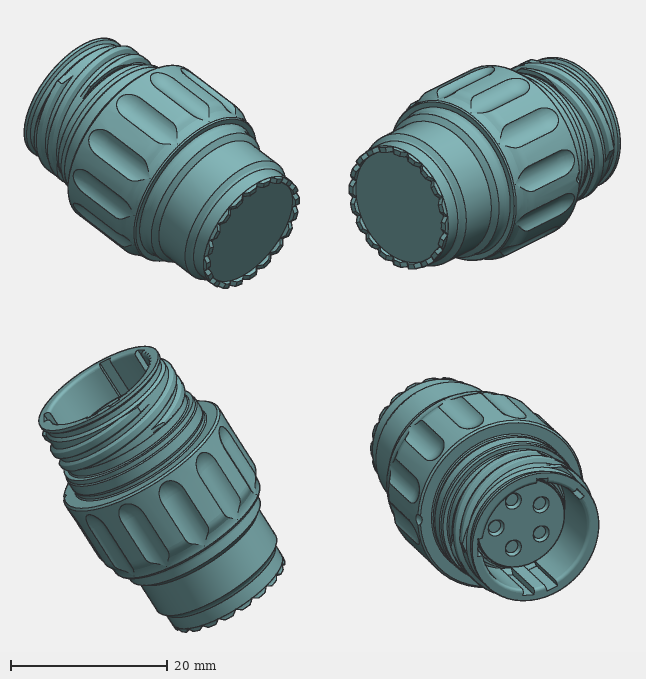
import cadquery as cq
import math


length = 33.0
collar_radius = 11.65
tooth_depth = 0.55
crown_base_x = length - tooth_depth

nose_radius = 8.9
rim_end_x = 0.45
seal_groove_radius = 8.5
seal_groove_start_x = 0.75
seal_groove_end_x = 1.5
thread_start_x = 1.85
thread_end_x = 6.15
neck_radius = 8.88
neck_start_x = 6.3
shoulder_x = 7.55
shoulder_radius = 9.6
corner_bevel = 0.15
ring_start_x = 8.35
ring_end_x = 9.75
ring_radius = 9.77
ring_step = ring_radius - shoulder_radius
ring_bevel_end_x = 10.03
ring_tail_radius = 9.67

collar_start_x = 10.65
collar_chamfer = 0.25
collar_crown_end_x = 19.55
collar_bevel_x = 20.62
collar_bevel_radius = 11.32
collar_cove_x = 21.02
collar_cove_start_radius = 11.1
collar_cove_arc_radius = 2.65
collar_lip_x = 21.98
collar_lip_radius = 10.9
collar_lip_chamfer_x = 22.28
collar_end_x = 22.5
collar_end_radius = 10.75

cove_start_radius = 10.05
cove_arc_radius = 1.12
cove_bottom_x = 23.25
rear_ring_radius = 9.77
rear_ring_end_x = 24.32
barrel_start_x = 24.95
barrel_radius = 9.0
barrel_end_x = 29.75
tail_step_x = 30.35
tail_step_radius = 8.45
tail_start_x = 30.62
tail_radius = 8.3

tooth_count = 20
tooth_notch_width = 1.42
crown_radius = 8.28
crown_inner_radius = 7.6

thread_starts = 3
thread_lead = 6.17
thread_turn = 250.0
thread_ramp_turn = 11.0
thread_first_angle = 109.0
thread_first_center_x = 2.08
thread_radius = 9.47
thread_root_width = 1.42
thread_crest_width = 0.82
thread_embed = 0.25
thread_crest_fillet = 0.13

socket_radius = 7.42
socket_lip = 0.43
socket_depth = 7.25
flange_radius = 6.9
flange_depth = 6.27
insert_flange_radius = 6.45
insert_flange_depth = 5.28
insert_radius = 6.17
insert_chamfer = 0.1
insert_face_x = 4.52
contact_count = 5
contact_circle_radius = 3.5
contact_mouth_radius = 1.12
contact_floor_radius = 0.85
contact_depth = 0.53

keyway_radius = 8.12
keyways = [(0.0, 2.48), (97.0, 1.55), (141.5, 1.55), (253.0, 1.55), (277.0, 1.55)]

flute_count = 12
flute_radius = 2.57
flute_floor_radius = collar_lip_radius
flute_straight_x = 13.9
flute_runout_radius = 4.05

index_dimple_radius = 0.85
index_dimple_depth = 0.53


def around_x(shape, angle):
    """Turn a shape about the X axis, from +Y toward +Z."""
    return shape.rotate((0, 0, 0), (1, 0, 0), angle)


def cylinder(start_x, end_x, radius):
    return cq.Workplane("YZ").workplane(offset=start_x).circle(radius).extrude(end_x - start_x)


def make_body():
    profile = (
        cq.Workplane("XY")
        .lineTo(0, nose_radius)
        .lineTo(rim_end_x, nose_radius)
        .lineTo(seal_groove_start_x, seal_groove_radius)
        .lineTo(seal_groove_end_x, seal_groove_radius)
        .lineTo(thread_start_x, nose_radius)
        .lineTo(neck_start_x, nose_radius)
        .lineTo(neck_start_x, neck_radius)
        .lineTo(shoulder_x - corner_bevel, neck_radius)
        .lineTo(shoulder_x, neck_radius + corner_bevel)
        .lineTo(shoulder_x, shoulder_radius)
        .lineTo(ring_start_x - ring_step, shoulder_radius)
        .lineTo(ring_start_x, ring_radius)
        .lineTo(ring_end_x, ring_radius)
        .lineTo(ring_bevel_end_x, ring_tail_radius)
        .lineTo(collar_start_x - corner_bevel, ring_tail_radius)
        .lineTo(collar_start_x, ring_tail_radius + corner_bevel)
        .lineTo(collar_start_x, collar_radius - collar_chamfer)
        .lineTo(collar_start_x + collar_chamfer, collar_radius)
        .lineTo(collar_crown_end_x, collar_radius)
        .tangentArcPoint((collar_bevel_x, collar_bevel_radius), relative=False)
        .lineTo(collar_cove_x, collar_cove_start_radius)
        .radiusArc((collar_lip_x, collar_lip_radius), -collar_cove_arc_radius)
        .lineTo(collar_lip_chamfer_x, collar_lip_radius)
        .lineTo(collar_end_x, collar_end_radius)
        .lineTo(collar_end_x, cove_start_radius)
        .radiusArc((cove_bottom_x, rear_ring_radius), -cove_arc_radius)
        .lineTo(rear_ring_end_x, rear_ring_radius)
        .lineTo(barrel_start_x, barrel_radius)
        .lineTo(barrel_end_x, barrel_radius)
        .lineTo(tail_step_x, tail_step_radius)
        .lineTo(tail_start_x, tail_radius)
        .lineTo(crown_base_x, tail_radius)
        .lineTo(crown_base_x, crown_radius)
        .lineTo(length, crown_radius)
        .lineTo(length, 0)
        .close()
    )
    return profile.revolve(360, (0, 0, 0), (1, 0, 0))


def make_thread_ridge():
    """One thread ridge, starting on the +Y side and rising along +X."""
    root_radius = nose_radius - thread_embed
    flank_run = (thread_root_width - thread_crest_width) / 2
    embed_run = flank_run * thread_embed / (thread_radius - nose_radius)
    half_crest = thread_crest_width / 2
    half_root = thread_root_width / 2 + embed_run
    height = thread_lead * thread_turn / 360
    helix = cq.Wire.makeHelix(thread_lead, height, nose_radius)
    corners = [
        (root_radius, -half_root),
        (thread_radius, -half_crest),
        (thread_radius, half_crest),
        (root_radius, half_root),
        (root_radius, -half_root),
    ]
    section = cq.Sketch().polygon(corners).vertices(">X").fillet(thread_crest_fillet)
    ridge = cq.Workplane("XZ").placeSketch(section).sweep(cq.Workplane(helix), isFrenet=True)
    ridge = ridge.rotate((0, 0, 0), (1, 1, 1), 120)
    return ridge.translate((thread_first_center_x, 0, 0))


def make_ramp_cutter():
    """Removes what stands above a flat ramp from root to crest, starting on the +Y side."""
    ramp = math.radians(thread_ramp_turn)
    crest = (thread_radius * math.cos(ramp), thread_radius * math.sin(ramp))
    return (
        cq.Workplane("YZ")
        .moveTo(nose_radius, -thread_embed)
        .lineTo(nose_radius, 0)
        .lineTo(*crest)
        .lineTo(collar_radius, crest[1])
        .lineTo(collar_radius, -thread_embed)
        .close()
        .extrude(collar_start_x)
    )


def make_thread():
    ramp_cutter = make_ramp_cutter()
    thread_zone = cylinder(thread_start_x, thread_end_x, collar_radius)
    ridge = make_thread_ridge().intersect(thread_zone)
    ridge = ridge.cut(ramp_cutter)
    ridge = ridge.cut(around_x(ramp_cutter.mirror("XY"), thread_turn))
    return [around_x(ridge, thread_first_angle + i * 360 / thread_starts) for i in range(thread_starts)]


def make_socket():
    """Rounded mouth, bore, stepped floor and the raised insert left standing in the middle."""
    profile = (
        cq.Workplane("XY")
        .lineTo(0, socket_radius + socket_lip)
        .radiusArc((socket_lip, socket_radius), -socket_lip)
        .lineTo(socket_depth, socket_radius)
        .lineTo(socket_depth, flange_radius)
        .lineTo(flange_depth, flange_radius)
        .lineTo(flange_depth, insert_flange_radius)
        .lineTo(insert_flange_depth, insert_flange_radius)
        .lineTo(insert_flange_depth, insert_radius)
        .lineTo(insert_face_x + insert_chamfer, insert_radius)
        .lineTo(insert_face_x, insert_radius - insert_chamfer)
        .lineTo(insert_face_x, 0)
        .close()
    )
    return profile.revolve(360, (0, 0, 0), (1, 0, 0))


def make_keyway(angle, width):
    """Keyway on the +Y side, closed by a 45 degree ramp at its inner end."""
    ramp_start_x = socket_depth - (keyway_radius - socket_radius)
    slot = (
        cq.Workplane("XY")
        .moveTo(0, flange_radius)
        .lineTo(0, keyway_radius)
        .lineTo(ramp_start_x, keyway_radius)
        .lineTo(socket_depth, socket_radius)
        .lineTo(socket_depth, flange_radius)
        .close()
        .extrude(width / 2, both=True)
    )
    return around_x(slot, angle)


def make_contact(angle):
    pocket = (
        cq.Workplane("YZ")
        .workplane(offset=insert_face_x)
        .center(contact_circle_radius, 0)
        .circle(contact_mouth_radius)
        .workplane(offset=contact_depth)
        .circle(contact_floor_radius)
        .loft()
    )
    return around_x(pocket, angle)


def flute_section():
    """Lower half of the flute's round cross-section."""
    center_y = flute_floor_radius + flute_radius
    return (
        cq.Workplane("YZ")
        .workplane(offset=flute_straight_x)
        .moveTo(center_y, -flute_radius)
        .threePointArc((flute_floor_radius, 0), (center_y, flute_radius))
        .close()
    )


def make_flute(angle):
    """Round-bottomed flute on the +Y side that sweeps up and out toward the front."""
    straight = flute_section().extrude(collar_lip_x - flute_straight_x)
    runout_y = flute_floor_radius + flute_runout_radius
    runout = flute_section().revolve(90, (runout_y, flute_radius, 0), (runout_y, 0, 0))
    return around_x(straight.union(runout), angle)


def make_index_dimple():
    center_y = collar_radius - index_dimple_depth + index_dimple_radius
    return cq.Workplane("XY").sphere(index_dimple_radius).translate((collar_start_x, center_y, 0))


def make_notch(angle):
    """V notch through the crown wall on the +Y side."""
    notch = (
        cq.Workplane("XZ")
        .moveTo(crown_base_x, 0)
        .lineTo(length, tooth_notch_width / 2)
        .lineTo(length, -tooth_notch_width / 2)
        .close()
        .extrude(-tail_radius)
    )
    return around_x(notch, angle)


result = make_body()
for ridge in make_thread():
    result = result.union(ridge)

result = result.cut(make_socket())
for keyway_angle, keyway_width in keyways:
    result = result.cut(make_keyway(keyway_angle, keyway_width))
for i in range(contact_count):
    result = result.cut(make_contact(i * 360 / contact_count))

for i in range(flute_count):
    result = result.cut(make_flute((i + 0.5) * 360 / flute_count))
result = result.cut(make_index_dimple())

result = result.cut(cylinder(crown_base_x, length, crown_inner_radius))
for i in range(tooth_count):
    result = result.cut(make_notch((i + 0.5) * 360 / tooth_count))